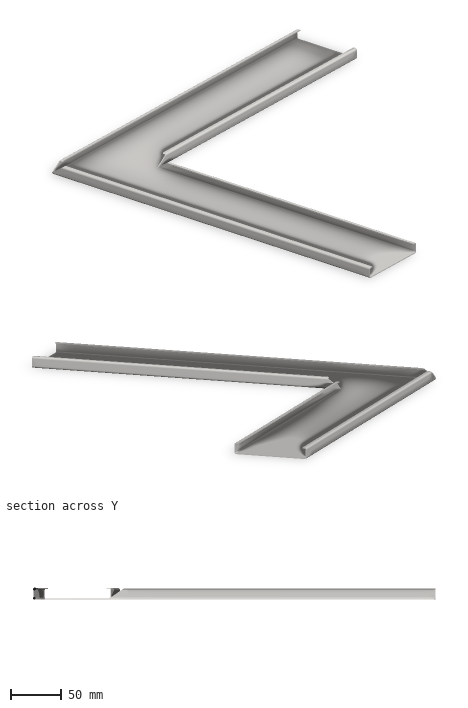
import cadquery as cq

LEG_LENGTH = 400.5
LEG_WIDTH = 76.0
HEIGHT = 11.5
THICKNESS = 1.03
BEND_RADIUS = 2.0
LIP_WIDTH = 4.5
WALL_SETBACK = 13.5
CORNER_TILT = -1.6


def channel():
    """Straight lipped channel along +X, with its outer lower edge on the X axis."""
    clear_width = LEG_WIDTH - 2 * THICKNESS
    clear_height = HEIGHT - 2 * THICKNESS
    mouth_width = LEG_WIDTH - 2 * LIP_WIDTH
    bar = cq.Workplane("XY").box(LEG_LENGTH, LEG_WIDTH, HEIGHT, centered=False)
    bar = bar.edges("|X").fillet(BEND_RADIUS)
    cavity = (
        cq.Workplane("XY")
        .box(LEG_LENGTH, clear_width, clear_height, centered=False)
        .edges("|X").fillet(BEND_RADIUS - THICKNESS)
        .translate((0, THICKNESS, THICKNESS))
    )
    mouth = (
        cq.Workplane("XY")
        .box(LEG_LENGTH, mouth_width, HEIGHT, centered=False)
        .translate((0, LIP_WIDTH, THICKNESS))
    )
    return bar.cut(cavity).cut(mouth)


def mitre_waste():
    """Material beyond the 45 degree mitre between the two legs."""
    return (
        cq.Workplane("XY")
        .polyline([(0, 0), (0, LEG_WIDTH), (LEG_WIDTH, LEG_WIDTH)])
        .close()
        .extrude(HEIGHT)
    )


def wall_end_waste(mitre_x, wall_y, width):
    """Wedge that slopes one wall end back from the mitre, rising from the floor bend."""
    return (
        cq.Workplane("XZ", origin=(0, wall_y, 0))
        .polyline([
            (-WALL_SETBACK, BEND_RADIUS),
            (mitre_x, BEND_RADIUS),
            (mitre_x + WALL_SETBACK, HEIGHT),
            (-WALL_SETBACK, HEIGHT),
        ])
        .close()
        .extrude(-width)
    )


def mitred_leg():
    """Leg along +X, mitred at the corner with both wall ends sloped back."""
    outer_wall_waste = wall_end_waste(0, 0, LIP_WIDTH)
    inner_wall_waste = wall_end_waste(LEG_WIDTH, LEG_WIDTH - LIP_WIDTH, LIP_WIDTH)
    return channel().cut(mitre_waste()).cut(outer_wall_waste).cut(inner_wall_waste)


def place(leg):
    """Tilt a leg about the vertical axis through the outer corner."""
    return leg.rotate((0, 0, 0), (0, 0, 1), CORNER_TILT)


x_leg_straight = mitred_leg()
y_leg_straight = x_leg_straight.mirror("XZ").rotate((0, 0, 0), (0, 0, 1), 90)

x_leg = place(x_leg_straight)
y_leg = place(y_leg_straight)

result = cq.Compound.makeCompound([x_leg.val(), y_leg.val()])